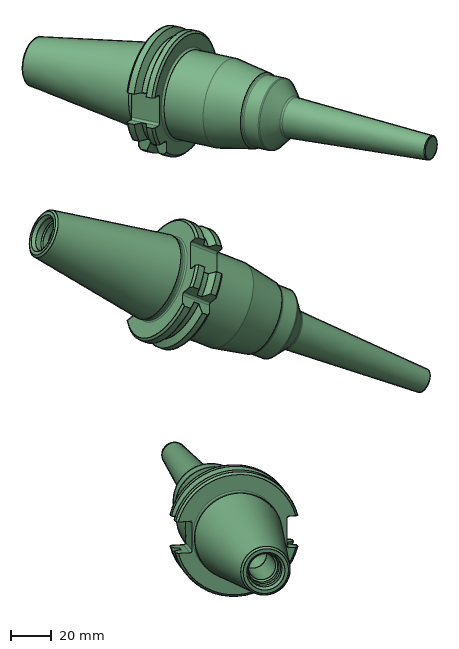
import cadquery as cq
import math

total_length = 228.2

gauge_x = 67.5
gauge_radius = 22.1
shank_end_chamfer = 1.0
small_end_radius = gauge_radius - gauge_x * 7 / 48

neck_radius = 21.7
neck_start_x = 69.2
neck_fillet = 0.7

flange_x = 71.2
flange_width = 16.0
flange_end_x = flange_x + flange_width
flange_radius = 31.7
flange_chamfer = 1.1
groove_center_x = 79.5
groove_floor_width = 2.7
groove_floor_radius = 28.0
groove_side_angle = 30.0

body_radius = 22.5
body_fillet = 1.1
body_end_x = 110.7
shoulder_end_x = 130.0
shoulder_angle = 10.0
collar_radius = 18.3
collar_start_fillet = 1.1
collar_end_x = 140.1
collar_end_fillet = 1.0

nose_base_radius = 10.3
nose_base_x = collar_end_x + collar_radius - nose_base_radius
nose_base_fillet = 1.5
nose_tip_radius = 6.2
nose_tip_chamfer = 0.5

slot_width = 16.0
front_slot_floor = 25.0
back_slot_floor = 22.5
notch_offset = 18.5
slot_fillet = 1.1
cutter_reach = 2 * flange_radius
cutter_length = flange_width + body_fillet

mouth_radius = 9.5
mouth_depth = 1.8
pilot_radius = 8.5
pilot_depth = 5.0
entry_radius = 7.8
entry_depth = 8.7
thread_radius = 6.8
thread_depth = 32.0
drill_point_angle = 118.0


def turned_body():
    groove_run = (flange_radius - groove_floor_radius) * math.tan(math.radians(groove_side_angle))
    floor_half = groove_floor_width / 2
    top_half = floor_half + groove_run
    shoulder_drop = (shoulder_end_x - body_end_x) * math.tan(math.radians(shoulder_angle))
    shoulder_end_radius = body_radius - shoulder_drop
    collar_x = shoulder_end_x + shoulder_end_radius - collar_radius
    profile = (
        cq.Workplane("XY")
        .moveTo(0, 0)
        .lineTo(0, small_end_radius - shank_end_chamfer)
        .lineTo(shank_end_chamfer, small_end_radius + shank_end_chamfer * 7 / 48)
        .lineTo(gauge_x, gauge_radius)
        .lineTo(neck_start_x, neck_radius)
        .lineTo(flange_x - neck_fillet, neck_radius)
        .radiusArc((flange_x, neck_radius + neck_fillet), -neck_fillet)
        .lineTo(flange_x, flange_radius - flange_chamfer)
        .lineTo(flange_x + flange_chamfer, flange_radius)
        .lineTo(groove_center_x - top_half, flange_radius)
        .lineTo(groove_center_x - floor_half, groove_floor_radius)
        .lineTo(groove_center_x + floor_half, groove_floor_radius)
        .lineTo(groove_center_x + top_half, flange_radius)
        .lineTo(flange_end_x - flange_chamfer, flange_radius)
        .lineTo(flange_end_x, flange_radius - flange_chamfer)
        .lineTo(flange_end_x, body_radius + body_fillet)
        .radiusArc((flange_end_x + body_fillet, body_radius), -body_fillet)
        .lineTo(body_end_x, body_radius)
        .lineTo(shoulder_end_x, shoulder_end_radius)
        .lineTo(collar_x, collar_radius)
        .lineTo(collar_end_x, collar_radius)
        .lineTo(nose_base_x, nose_base_radius)
        .lineTo(total_length - nose_tip_chamfer, nose_tip_radius)
        .lineTo(total_length, nose_tip_radius - nose_tip_chamfer)
        .lineTo(total_length, 0)
        .close()
    )
    body = profile.revolve(360, (0, 0, 0), (1, 0, 0))
    rounded_edges = (
        (collar_x, collar_start_fillet),
        (collar_end_x, collar_end_fillet),
        (nose_base_x, nose_base_fillet),
    )
    for edge_x, radius in rounded_edges:
        margin = 0.2
        near_edge = cq.selectors.BoxSelector(
            (edge_x - margin, -margin, -margin), (edge_x + margin, margin, margin)
        )
        body = body.edges(near_edge).fillet(radius)
    return body


def flange_cutter(y_start, y_end, z_start, z_end):
    """Block through the flange and the fillet behind it, with its edges along X rounded."""
    return (
        cq.Workplane("XY")
        .box(cutter_length, y_end - y_start, z_end - z_start, centered=False)
        .edges("|X")
        .fillet(slot_fillet)
        .translate((flange_x, y_start, z_start))
    )


def threaded_bore():
    point_length = thread_radius / math.tan(math.radians(drill_point_angle / 2))
    pilot_step = pilot_radius - entry_radius
    entry_step = entry_radius - thread_radius
    return (
        cq.Workplane("XY")
        .moveTo(0, 0)
        .lineTo(0, mouth_radius)
        .lineTo(mouth_depth, pilot_radius)
        .lineTo(pilot_depth, pilot_radius)
        .lineTo(pilot_depth + pilot_step, entry_radius)
        .lineTo(entry_depth, entry_radius)
        .lineTo(entry_depth + entry_step, thread_radius)
        .lineTo(thread_depth, thread_radius)
        .lineTo(thread_depth + point_length, 0)
        .close()
        .revolve(360, (0, 0, 0), (1, 0, 0))
    )


half_slot = slot_width / 2
front_slot = flange_cutter(-cutter_reach, -front_slot_floor, -half_slot, half_slot)
back_slot = flange_cutter(back_slot_floor, cutter_reach, -half_slot, half_slot)
notch = flange_cutter(-cutter_reach, -notch_offset, -cutter_reach, -notch_offset)

result = turned_body().cut(front_slot).cut(back_slot).cut(notch).cut(threaded_bore())